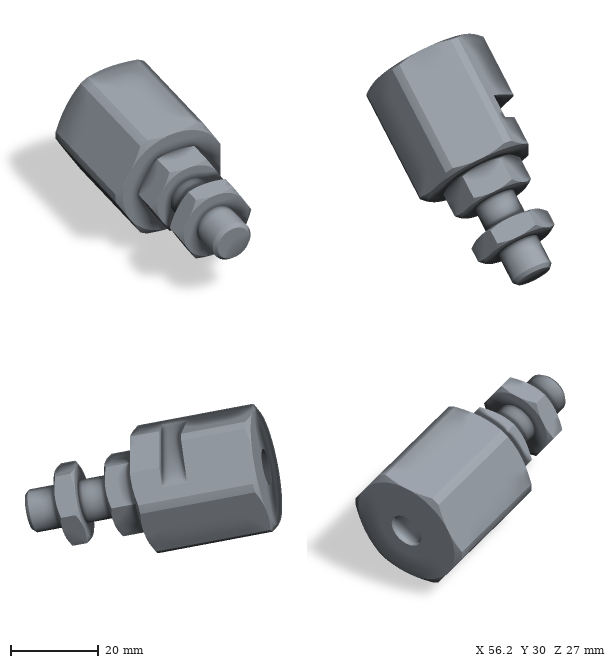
import cadquery as cq
import math

total_length = 56.2
housing_length = 29.0
stud_hex_length = 7.2
nut_start = 43.2
nut_length = 4.95

housing_flats = 27.0
housing_corner_diameter = 30.0
bore_diameter = 8.4
slot_start = 16.1
slot_end = 22.0
slot_floor_y = 9.95
end_flat_y = 12.3

stud_diameter = 10.0
stud_tip_diameter = 8.4
tip_chamfer_length = 0.9
small_flats = 17.0

hex_chamfer_angle = 30.0

bore_depth = slot_start


def cylinder(start, length, diameter):
    """Cylinder along +X on the common axis."""
    return cq.Workplane("YZ", origin=(start, 0, 0)).circle(diameter / 2).extrude(length)


def corner_distance(flats):
    """Distance across the sharp corners of a hexagon."""
    return flats / math.cos(math.radians(30))


def chamfered_hexagon(start, length, flats, corner_diameter):
    """Hexagonal bar along +X, corners on +Y and -Y, turned to a diameter and coned at both ends."""
    face_radius = flats / 2
    corner_radius = corner_diameter / 2
    chamfer_length = (corner_radius - face_radius) * math.tan(math.radians(hex_chamfer_angle))
    end = start + length
    prism = cq.Workplane("YZ", origin=(start, 0, 0)).polygon(6, corner_distance(flats)).extrude(length)
    turned_profile = (
        cq.Workplane("XY")
        .moveTo(start, 0)
        .lineTo(start, face_radius)
        .lineTo(start + chamfer_length, corner_radius)
        .lineTo(end - chamfer_length, corner_radius)
        .lineTo(end, face_radius)
        .lineTo(end, 0)
        .close()
    )
    turned_bar = turned_profile.revolve(360, (0, 0, 0), (1, 0, 0))
    return prism.intersect(turned_bar)


def side_cut(start, end, floor_y):
    """Block that removes everything beyond floor_y on the +Y side, over the full height."""
    depth = corner_distance(housing_flats) / 2 - floor_y
    return cq.Workplane("XY").box(end - start, depth, housing_flats, centered=(False, False, True)).translate(
        (start, floor_y, 0)
    )


def make_housing():
    body = chamfered_hexagon(0, housing_length, housing_flats, housing_corner_diameter)
    body = body.cut(cylinder(0, bore_depth, bore_diameter))
    body = body.cut(side_cut(slot_start, slot_end, slot_floor_y))
    return body.cut(side_cut(slot_end, housing_length, end_flat_y))


def make_stud():
    head = chamfered_hexagon(housing_length, stud_hex_length, small_flats, corner_distance(small_flats))
    shank_start = housing_length + stud_hex_length
    tip_chamfer_height = (stud_diameter - stud_tip_diameter) / 2
    shank = cylinder(shank_start, total_length - shank_start, stud_diameter)
    shank = shank.faces(">X").chamfer(tip_chamfer_length, tip_chamfer_height)
    return head.union(shank)


def make_lock_nut():
    nut = chamfered_hexagon(nut_start, nut_length, small_flats, corner_distance(small_flats))
    return nut.cut(cylinder(nut_start, nut_length, stud_diameter))


housing = make_housing()
stud = make_stud()
lock_nut = make_lock_nut()

result = cq.Compound.makeCompound([housing.val(), stud.val(), lock_nut.val()])